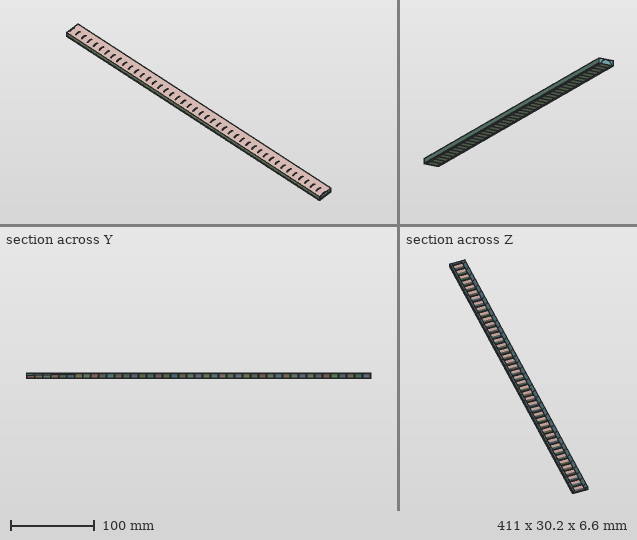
import cadquery as cq
import math

pocket_pitch = 9.525
pocket_count = 43
pocket_wall = 1.016
bar_length = pocket_count * pocket_pitch + pocket_wall
bar_width = 20.0
bar_height = 6.6
bar_angle = 1.4174

side_wall = 0.36
mouth_top = 0.85
arch_radius = 7.5
arch_crest = 6.48
arch_offset = -1.08
pocket_length = pocket_pitch - pocket_wall
mouth_width = bar_width - 2 * side_wall

plate_thickness = 0.4
plate_length = pocket_count * pocket_pitch - pocket_wall


def bar(length, width, height):
    """A block centred on X and Y that stands on Z = 0."""
    return cq.Workplane("XY").box(length, width, height, centered=(True, True, False))


def pocket_shape():
    """One pocket, centred on X = 0, from the plate up to the arch crest."""
    arch_centre = arch_crest - arch_radius
    half_span = math.sqrt(arch_radius**2 - (mouth_top - arch_centre) ** 2)
    return (
        cq.Workplane("YZ")
        .moveTo(-mouth_width / 2, plate_thickness)
        .lineTo(-mouth_width / 2, mouth_top)
        .lineTo(arch_offset - half_span, mouth_top)
        .threePointArc((arch_offset, arch_crest), (arch_offset + half_span, mouth_top))
        .lineTo(mouth_width / 2, mouth_top)
        .lineTo(mouth_width / 2, plate_thickness)
        .close()
        .extrude(pocket_length / 2, both=True)
    )


def make_housing():
    """The bar with its row of pockets and the recess for the closing plate."""
    pocket = pocket_shape().val()
    first_x = -(pocket_count - 1) / 2 * pocket_pitch
    pockets = []
    for index in range(pocket_count):
        pockets.append(pocket.translate(cq.Vector(first_x + index * pocket_pitch, 0, 0)))
    recess = bar(plate_length, mouth_width, plate_thickness).val()
    return cq.Workplane(bar(bar_length, bar_width, bar_height).val().cut(recess, *pockets))


def make_plate():
    """The plate that closes the pockets from below."""
    return bar(plate_length, mouth_width, plate_thickness)


def turned(body):
    """The body turned about Z to the angle of the assembly."""
    return body.rotate((0, 0, 0), (0, 0, 1), bar_angle)


housing = turned(make_housing())
plate = turned(make_plate())

result = cq.Compound.makeCompound([housing.val(), plate.val()])